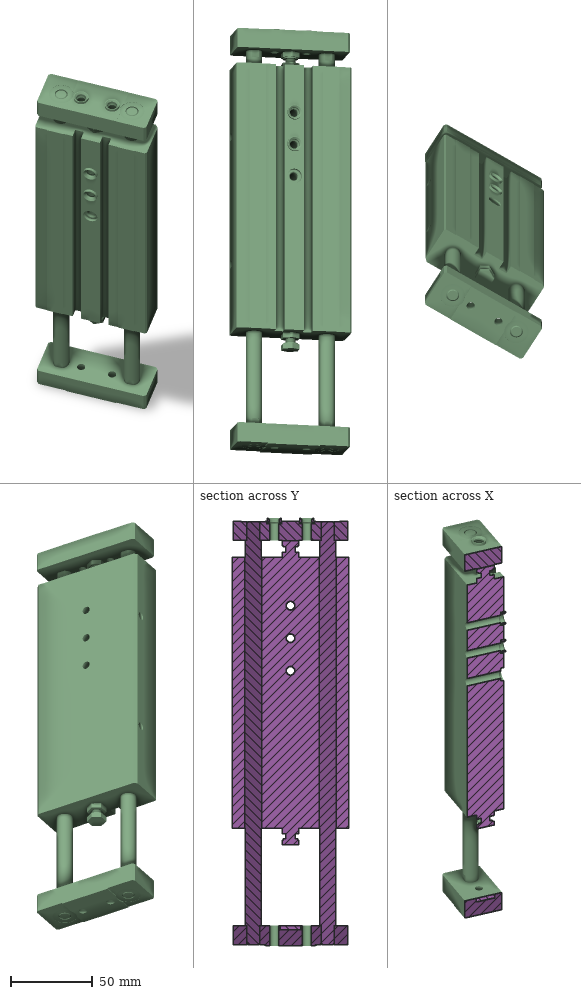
import cadquery as cq
import math

TOTAL_HEIGHT = 263.0
SLEEVE_PROUD = 1.8
FOOT_PAD = 0.5
HEAD_PAD = 0.13
PLATE_THICKNESS = 12.0
HOUSING_BOTTOM = 72.0
HOUSING_LENGTH = 167.0
LOWER_PLATE_TOP = FOOT_PAD + PLATE_THICKNESS
UPPER_PLATE_TOP = TOTAL_HEIGHT - SLEEVE_PROUD
UPPER_PLATE_BOTTOM = UPPER_PLATE_TOP - PLATE_THICKNESS
HOUSING_TOP = HOUSING_BOTTOM + HOUSING_LENGTH

PLATE_WIDTH = 70.5
PLATE_BACK = 14.0
PLATE_DEPTH = 25.0
PLATE_CHAMFER = 1.3
PAD_WIDTH = 32.5
SPOTFACE_DIAMETER = 15.0
SPOTFACE_DEPTH = 0.13
PLATE_HOLE_X = 10.0
PLATE_HOLE_DIAMETER = 5.0
STOP_DISC_DIAMETER = 12.0
STOP_DISC_THICKNESS = 2.5

ROD_X = 23.0
ROD_DIAMETER = 10.0
SPIGOT_DIAMETER = 8.0
SPIGOT_CHAMFER = 0.8
FLAT_WIDTH = 9.0
FLAT_HEIGHT = 4.5

HOUSING_WIDTH = 72.0
HOUSING_DEPTH = 24.7
HOUSING_FRONT_CHAMFER = 1.3
HOUSING_BACK_CHAMFER = 1.8
HOUSING_FRONT = -HOUSING_DEPTH / 2
LAND_OUTER_X = 28.1
LAND_INNER_X = 18.0
FACE_SETBACK = 0.3
SLOT_OUTER_X = 11.5
SLOT_INNER_X = 6.0
SLOT_DEPTH = 5.5
MOUNT_HOLE_DIAMETER = 5.0
MOUNT_HOLE_RIM_DIAMETER = 6.0
MOUNT_HOLE_TOP = 209.0
MOUNT_HOLE_PITCH = 20.0
MOUNT_HOLE_COUNT = 3
PORT_DIAMETER = 4.2
PORT_RIM_DIAMETER = 5.0
PORT_DEPTH = 6.5
PORT_Y = 6.8
PORT_HEIGHTS = (115.7, 196.0)

HEX_FLATS = 10.3
HEX_CORNERS = HEX_FLATS / math.cos(math.pi / 6)
NUT_HEIGHT = 3.2
SCREW_HEAD_HEIGHT = 4.0
COLLAR_DIAMETER = 9.2
COLLAR_HEIGHT = 0.8
SCREW_SHANK_DIAMETER = 6.0
STOP_LENGTH = UPPER_PLATE_BOTTOM - HOUSING_TOP

SLEEVE_DIAMETER = 9.0
SLEEVE_BORE = 6.0
SLEEVE_BORE_CHAMFER = 1.0
SLEEVE_RECESS = 1.5
SLEEVE_LENGTH = SLEEVE_RECESS + SLEEVE_PROUD
FRONT_SLEEVE_RECESS = 1.8
FRONT_SLEEVE_COUNT = 2

mount_hole_heights = [MOUNT_HOLE_TOP - i * MOUNT_HOLE_PITCH for i in range(MOUNT_HOLE_COUNT)]
rod_places = [(-ROD_X, 0), (ROD_X, 0)]
plate_hole_places = [(-PLATE_HOLE_X, 0), (PLATE_HOLE_X, 0)]


def cylinder(diameter, length, base, axis=(0, 0, 1)):
    """Cylinder that starts at the point `base` and runs along `axis`."""
    return cq.Workplane(cq.Solid.makeCylinder(diameter / 2, length, cq.Vector(*base), cq.Vector(*axis)))


def countersink(diameter, end_diameter, base, axis):
    """45 degree cone that starts at the point `base` and narrows along `axis`."""
    length = (diameter - end_diameter) / 2
    cone = cq.Solid.makeCone(diameter / 2, end_diameter / 2, length, cq.Vector(*base), cq.Vector(*axis))
    return cq.Workplane(cone)


def box_between(x_range, y_range, z_range):
    """Box given by its limits along each axis."""
    (x0, x1), (y0, y1), (z0, z1) = x_range, y_range, z_range
    return cq.Workplane("XY").box(x1 - x0, y1 - y0, z1 - z0, centered=False).translate((x0, y0, z0))


def hexagon(height):
    """Hexagonal prism with its flats facing along X, standing on Z = 0."""
    prism = cq.Workplane("XY").polygon(6, HEX_CORNERS).extrude(height)
    return prism.rotate((0, 0, 0), (0, 0, 1), 30)


def make_stop_screw():
    """Lock nut, shank and collared hex head, standing up from Z = 0."""
    nut = hexagon(NUT_HEIGHT)
    head_base = STOP_LENGTH - SCREW_HEAD_HEIGHT + COLLAR_HEIGHT
    head = hexagon(STOP_LENGTH - head_base).translate((0, 0, head_base))
    collar = cylinder(COLLAR_DIAMETER, COLLAR_HEIGHT, (0, 0, head_base - COLLAR_HEIGHT))
    shank = cylinder(SCREW_SHANK_DIAMETER, STOP_LENGTH, (0, 0, 0))
    return shank.union(nut).union(collar).union(head)


def make_housing():
    """Extruded housing with rod bores, slots, mounting holes, ports and its two stop screws."""
    body = cq.Workplane("XY").workplane(offset=HOUSING_BOTTOM).rect(HOUSING_WIDTH, HOUSING_DEPTH)
    body = body.extrude(HOUSING_LENGTH)
    body = body.edges("|Z and <Y").chamfer(HOUSING_FRONT_CHAMFER)
    body = body.edges("|Z and >Y").chamfer(HOUSING_BACK_CHAMFER)
    heights = (HOUSING_BOTTOM, HOUSING_TOP)
    side = -HOUSING_WIDTH / 2
    for x0, x1, depth in (
        (LAND_OUTER_X, HOUSING_WIDTH / 2, FACE_SETBACK),
        (SLOT_OUTER_X, LAND_INNER_X, FACE_SETBACK),
        (SLOT_INNER_X, SLOT_OUTER_X, SLOT_DEPTH),
    ):
        y_range = (HOUSING_FRONT, HOUSING_FRONT + depth)
        body = body.cut(box_between((x0, x1), y_range, heights))
        body = body.cut(box_between((-x1, -x0), y_range, heights))
    for x, y in rod_places:
        body = body.cut(cylinder(ROD_DIAMETER, HOUSING_LENGTH, (x, y, HOUSING_BOTTOM)))
    for z in mount_hole_heights:
        front = (0, HOUSING_FRONT, z)
        body = body.cut(cylinder(MOUNT_HOLE_DIAMETER, HOUSING_DEPTH, front, (0, 1, 0)))
        body = body.cut(cylinder(SLEEVE_DIAMETER, FRONT_SLEEVE_RECESS, front, (0, 1, 0)))
        recess_floor = (0, HOUSING_FRONT + FRONT_SLEEVE_RECESS, z)
        body = body.cut(countersink(MOUNT_HOLE_RIM_DIAMETER, MOUNT_HOLE_DIAMETER, recess_floor, (0, 1, 0)))
    for z in PORT_HEIGHTS:
        body = body.cut(cylinder(PORT_DIAMETER, PORT_DEPTH, (side, PORT_Y, z), (1, 0, 0)))
        body = body.cut(countersink(PORT_RIM_DIAMETER, PORT_DIAMETER, (side, PORT_Y, z), (1, 0, 0)))
        body = body.cut(countersink(PORT_DIAMETER, 0, (side + PORT_DEPTH, PORT_Y, z), (1, 0, 0)))
    stop = make_stop_screw()
    body = body.union(stop.translate((0, 0, HOUSING_TOP)))
    return body.union(stop.rotate((0, 0, 0), (1, 0, 0), 180).translate((0, 0, HOUSING_BOTTOM)))


def make_plate(thickness, pad_height):
    """Yoke plate with its inner face on Z = 0 and its outer face, with the middle pad, upward."""
    y_range = (PLATE_BACK - PLATE_DEPTH, PLATE_BACK)
    plate = box_between((-PLATE_WIDTH / 2, PLATE_WIDTH / 2), y_range, (0, thickness))
    plate = plate.edges("|Z").chamfer(PLATE_CHAMFER)
    pad_top = thickness + pad_height
    plate = plate.union(box_between((-PAD_WIDTH / 2, PAD_WIDTH / 2), y_range, (0, pad_top)))
    for x, y in rod_places:
        plate = plate.cut(cylinder(SPIGOT_DIAMETER, thickness, (x, y, 0)))
        spotface_floor = thickness - SPOTFACE_DEPTH
        plate = plate.cut(cylinder(SPOTFACE_DIAMETER, pad_top - spotface_floor, (x, y, spotface_floor)))
    for x, y in plate_hole_places:
        plate = plate.cut(cylinder(PLATE_HOLE_DIAMETER, pad_top, (x, y, 0)))
    return plate


def make_upper_plate():
    """Upper yoke plate with a sleeve recess around each of its two middle holes."""
    plate = make_plate(PLATE_THICKNESS - HEAD_PAD, HEAD_PAD).translate((0, 0, UPPER_PLATE_BOTTOM))
    for x, y in plate_hole_places:
        plate = plate.cut(cylinder(SLEEVE_DIAMETER, SLEEVE_RECESS, (x, y, UPPER_PLATE_TOP - SLEEVE_RECESS)))
    return plate


def make_lower_plate():
    """Lower yoke plate, turned over, with a pocket for the stop disc in its inner face."""
    plate = make_plate(PLATE_THICKNESS, FOOT_PAD).rotate((0, 0, 0), (0, 1, 0), 180)
    return plate.translate((0, 0, LOWER_PLATE_TOP)).cut(make_stop_disc())


def make_stop_disc():
    """Disc set flush in the lower plate, below the lower stop screw."""
    return cylinder(STOP_DISC_DIAMETER, STOP_DISC_THICKNESS, (0, 0, LOWER_PLATE_TOP - STOP_DISC_THICKNESS))


def make_rod(x, y):
    """Piston rod with wrench flats at both ends and a chamfered spigot into each plate."""
    shaft_length = UPPER_PLATE_BOTTOM - LOWER_PLATE_TOP
    shaft = cylinder(ROD_DIAMETER, shaft_length, (x, y, LOWER_PLATE_TOP))
    for z in (LOWER_PLATE_TOP, UPPER_PLATE_BOTTOM - FLAT_HEIGHT):
        for side in (-1, 1):
            y_limits = sorted((y + side * FLAT_WIDTH / 2, y + side * ROD_DIAMETER))
            shaft = shaft.cut(
                box_between((x - ROD_DIAMETER, x + ROD_DIAMETER), y_limits, (z, z + FLAT_HEIGHT))
            )
    spigot_bottom = FOOT_PAD + SPOTFACE_DEPTH
    spigot_top = UPPER_PLATE_TOP - HEAD_PAD - SPOTFACE_DEPTH
    spigots = cylinder(SPIGOT_DIAMETER, spigot_top - spigot_bottom, (x, y, spigot_bottom))
    return shaft.union(spigots.faces("<Z or >Z").chamfer(SPIGOT_CHAMFER))


def make_sleeve(base, axis):
    """Centring sleeve that starts at the point `base` and runs outward along `axis`."""
    sleeve = cylinder(SLEEVE_DIAMETER, SLEEVE_LENGTH, base, axis)
    sleeve = sleeve.cut(cylinder(SLEEVE_BORE, SLEEVE_LENGTH, base, axis))
    return sleeve.edges(cq.selectors.RadiusNthSelector(0)).chamfer(SLEEVE_BORE_CHAMFER)


housing = make_housing()
upper_plate = make_upper_plate()
lower_plate = make_lower_plate()
stop_disc = make_stop_disc()
rods = [make_rod(x, y) for x, y in rod_places]

sleeves = []
for x, y in plate_hole_places:
    sleeves.append(make_sleeve((x, y, UPPER_PLATE_TOP - SLEEVE_RECESS), (0, 0, 1)))
for z in mount_hole_heights[:FRONT_SLEEVE_COUNT]:
    sleeves.append(make_sleeve((0, HOUSING_FRONT + FRONT_SLEEVE_RECESS, z), (0, -1, 0)))

bodies = [housing, upper_plate, lower_plate, stop_disc, *rods, *sleeves]
result = cq.Compound.makeCompound([body.val() for body in bodies])